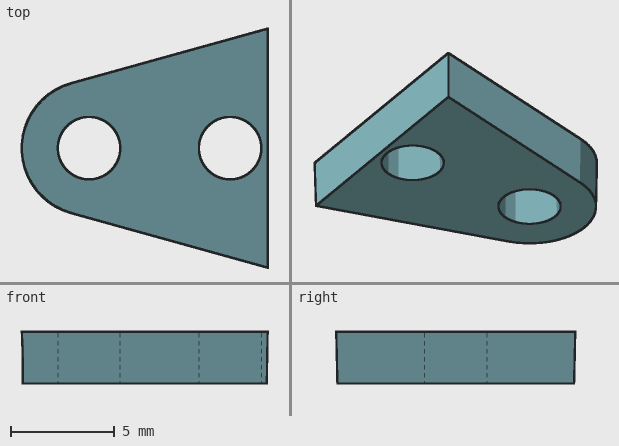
import cadquery as cq
import math

length = 11.86
width = 11.53
thickness = 2.5
nose_radius = 3.25
hole_diameter = 3.0
hole_spacing = 6.8
draft_angle = 1.0

back_x = length - nose_radius
half_width = width / 2

corner_distance = math.hypot(back_x, half_width)
tangent_angle = math.atan2(half_width, back_x) + math.acos(nose_radius / corner_distance)
tangent_x = nose_radius * math.cos(tangent_angle)
tangent_y = nose_radius * math.sin(tangent_angle)


def drafted_plate():
    """Wedge-shaped plate with a round nose, widest at its top face."""
    outline = (
        cq.Workplane("XY", origin=(0, 0, thickness))
        .moveTo(back_x, -half_width)
        .lineTo(back_x, half_width)
        .lineTo(tangent_x, tangent_y)
        .threePointArc((-nose_radius, 0), (tangent_x, -tangent_y))
        .close()
    )
    return outline.extrude(-thickness, taper=draft_angle)


def through_holes():
    """Two straight holes along the centre line."""
    return (
        cq.Workplane("XY")
        .pushPoints([(0, 0), (hole_spacing, 0)])
        .circle(hole_diameter / 2)
        .extrude(thickness)
    )


result = drafted_plate().cut(through_holes())